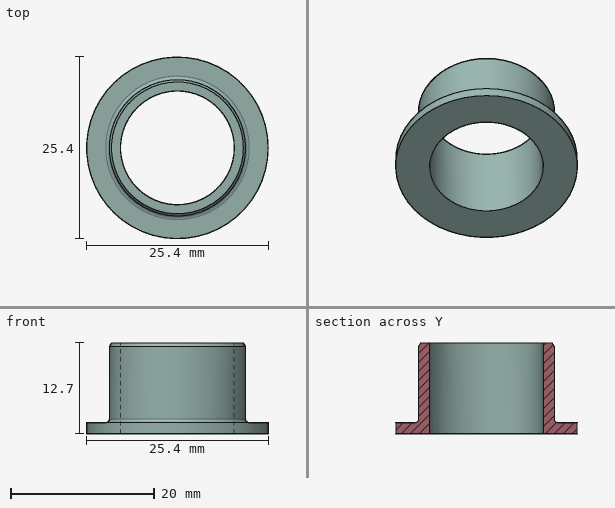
import cadquery as cq
import math

flange_diameter = 25.4
sleeve_diameter = 19.05
bore_diameter = 15.88
total_height = 12.7
flange_thickness = 1.57
fillet_radius = 0.5
chamfer_height = 0.48
chamfer_angle = 33.0

chamfer_width = chamfer_height * math.tan(math.radians(chamfer_angle))


flange_radius = flange_diameter / 2
sleeve_radius = sleeve_diameter / 2
bore_radius = bore_diameter / 2

fillet_centre_x = sleeve_radius + fillet_radius
fillet_centre_z = flange_thickness + fillet_radius
fillet_mid_offset = fillet_radius * math.sqrt(0.5)
fillet_middle = (fillet_centre_x - fillet_mid_offset, fillet_centre_z - fillet_mid_offset)

half_section = (
    cq.Workplane("XZ")
    .moveTo(bore_radius, 0)
    .lineTo(flange_radius, 0)
    .lineTo(flange_radius, flange_thickness)
    .lineTo(fillet_centre_x, flange_thickness)
    .threePointArc(fillet_middle, (sleeve_radius, fillet_centre_z))
    .lineTo(sleeve_radius, total_height - chamfer_height)
    .lineTo(sleeve_radius - chamfer_width, total_height)
    .lineTo(bore_radius, total_height)
    .close()
)

result = half_section.revolve(360, (0, 0, 0), (0, 1, 0))